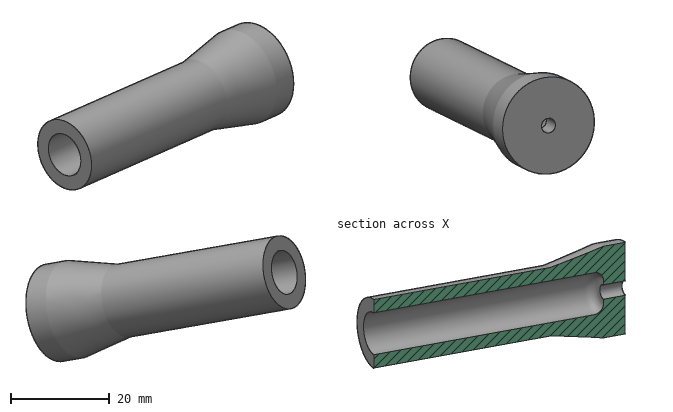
import cadquery as cq

total_length = 57.0
head_length = 5.0
taper_length = 11.95
head_diameter = 20.0
shaft_diameter = 15.0
bore_diameter = 9.0
bore_floor_diameter = 5.0
through_hole_diameter = 3.0

head_start = total_length - head_length
taper_start = head_start - taper_length
bore_depth = head_start
floor_fillet_radius = (bore_diameter - bore_floor_diameter) / 2


def make_body():
    """Solid shaft that flares through a cone into the head."""
    return (
        cq.Workplane("XY")
        .lineTo(shaft_diameter / 2, 0)
        .lineTo(shaft_diameter / 2, taper_start)
        .lineTo(head_diameter / 2, head_start)
        .lineTo(head_diameter / 2, total_length)
        .lineTo(0, total_length)
        .close()
        .revolve(360, (0, 0, 0), (0, 1, 0))
    )


def rod_along_y(diameter, length):
    """Cylinder on the Y axis, starting at the open shaft end."""
    return cq.Workplane("XZ").circle(diameter / 2).extrude(-length)


bore = rod_along_y(bore_diameter, bore_depth).faces(">Y").edges().fillet(floor_fillet_radius)
through_hole = rod_along_y(through_hole_diameter, total_length)

result = make_body().cut(bore).cut(through_hole)